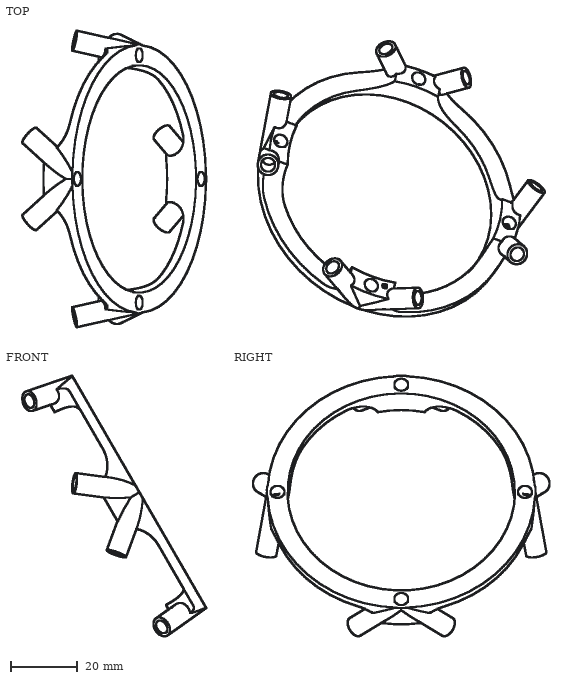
import cadquery as cq
import math

outer_diameter = 80.0
inner_diameter = 68.0
ring_thickness = 3.0
ring_tilt = 60

lug_depth = 10.0
lug_half_width = 7.0
wide_fillet = 10.0
tight_fillet = 6.0

hole_diameter = 4.2
hole_circle_radius = (outer_diameter + inner_diameter) / 4
marker_diameter = 1.5
marker_depth = 1.0
marker_radial_inset = 1.3
marker_side_offset = -4.1

socket_diameter = 6.2
socket_length = 20.0
bore_diameter = 4.2
bore_depth = 15.0

upper_socket = (-3.3, 14.7, -16.8)
lower_socket = (1.5, 15.5, -16.1)
side_upper_socket = (-13.4, 4.9, -17.4)
side_lower_socket = (14.2, 3.8, -17.1)


def ring_quarter(fillet_radius, angle):
    """Quarter of the ring centred on local +x with its flared lug, then turned by angle about z."""
    rise = lug_depth - ring_thickness
    run = math.sqrt(fillet_radius**2 - (fillet_radius - rise) ** 2)
    foot = lug_half_width + run
    half_sweep = math.acos((fillet_radius - rise) / fillet_radius) / 2
    mid_y = foot - fillet_radius * math.sin(half_sweep)
    mid_z = -ring_thickness - fillet_radius * (1 - math.cos(half_sweep))
    reach = outer_diameter
    side_profile = (
        cq.Workplane("YZ")
        .moveTo(-reach, 0)
        .lineTo(-reach, -ring_thickness)
        .lineTo(-foot, -ring_thickness)
        .threePointArc((-mid_y, mid_z), (-lug_half_width, -lug_depth))
        .lineTo(lug_half_width, -lug_depth)
        .threePointArc((mid_y, mid_z), (foot, -ring_thickness))
        .lineTo(reach, -ring_thickness)
        .lineTo(reach, 0)
        .close()
        .extrude(reach)
    )
    inner_radius = inner_diameter / 2
    outer_radius = outer_diameter / 2
    diagonal = math.sqrt(0.5)
    inner_corner = inner_radius * diagonal
    outer_corner = outer_radius * diagonal
    sector = (
        cq.Workplane("XY")
        .moveTo(inner_corner, -inner_corner)
        .lineTo(outer_corner, -outer_corner)
        .threePointArc((outer_radius, 0), (outer_corner, outer_corner))
        .lineTo(inner_corner, inner_corner)
        .threePointArc((inner_radius, 0), (inner_corner, -inner_corner))
        .close()
        .extrude(-lug_depth)
    )
    return sector.intersect(side_profile).rotate((0, 0, 0), (0, 0, 1), angle)


def rod(start, direction, diameter, length):
    return cq.Workplane(cq.Solid.makeCylinder(diameter / 2, length, start, direction))


body = ring_quarter(tight_fillet, 0)
for quarter_angle in (90, 180, 270):
    body = body.union(ring_quarter(wide_fillet, quarter_angle))

sockets = []
for side in (-1, 1):
    for base_x, base_y, direction in (
        (-hole_circle_radius, 0, upper_socket),
        (hole_circle_radius, 0, lower_socket),
        (0, side * hole_circle_radius, side_upper_socket),
        (0, side * hole_circle_radius, side_lower_socket),
    ):
        axis = cq.Vector(direction[0], side * direction[1], direction[2]).normalized()
        sockets.append((cq.Vector(base_x, base_y, 0), axis))

trim = cq.Workplane("XY").circle(outer_diameter).extrude(2 * socket_diameter)
opening = cq.Workplane("XY").circle(inner_diameter / 2).extrude(-lug_depth)
for base, axis in sockets:
    start = base - axis * socket_diameter
    socket = rod(start, axis, socket_diameter, socket_length + socket_diameter)
    body = body.union(socket.cut(trim).cut(opening))

for base, axis in sockets:
    body = body.cut(rod(base + axis * socket_length, -axis, bore_diameter, bore_depth))

lug_holes = (
    cq.Workplane("XY")
    .polarArray(hole_circle_radius, 0, 360, 4)
    .circle(hole_diameter / 2)
    .extrude(-lug_depth)
)
body = body.cut(lug_holes)

marker_start = cq.Vector(hole_circle_radius - marker_radial_inset, marker_side_offset, -lug_depth)
body = body.cut(rod(marker_start, cq.Vector(0, 0, 1), marker_diameter, marker_depth))

result = body.rotate((0, 0, 0), (0, 1, 0), ring_tilt)